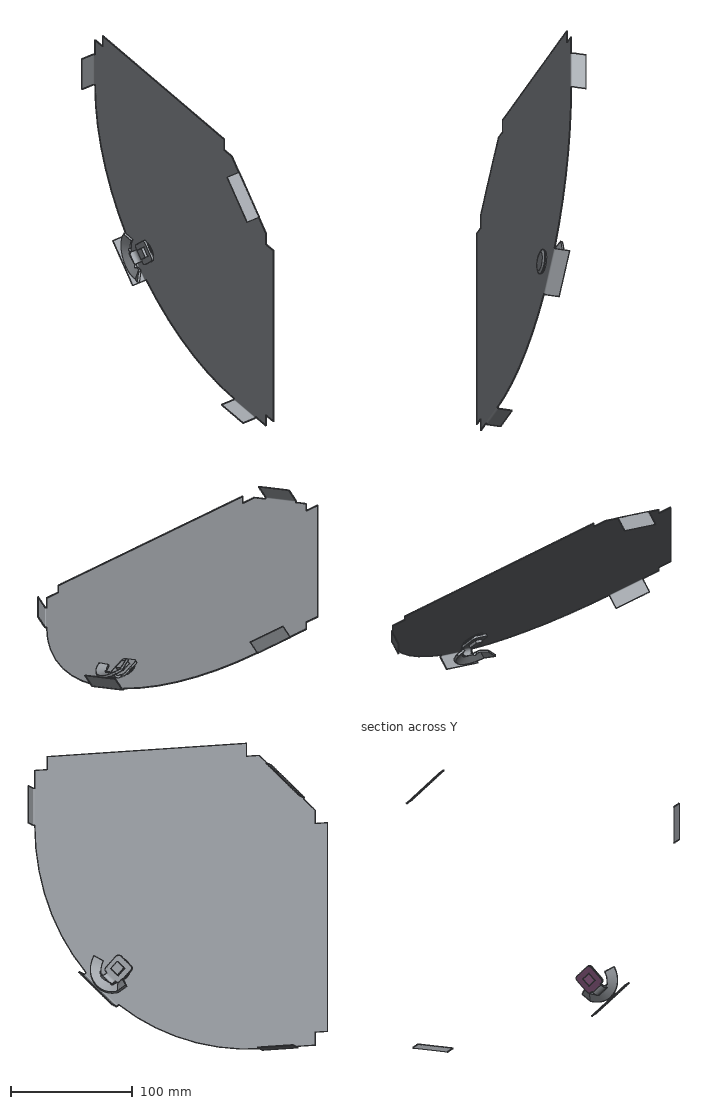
import cadquery as cq
import math


DIAGONAL = 45.0
COS_45 = math.sqrt(0.5)

SIZE = 257.8
SHEET = 0.8
BEND = 1.5
TAB_INSET = 10.8
NOTCH_START = 12.5
TAB_END = 186.9
CHAMFER = 49.0
ARC_CENTRE = 201.0
ARC_RADIUS = ARC_CENTRE - BEND

FLANGE_DEPTH = 13.0
SIDE_FLANGE = 31.0
DIAGONAL_FLANGE = 40.5
LAND = 2.5

LOCK = 75.8
NECK_DIAMETER = 16.5
NECK_END = -1.5
SHAFT_SIDE = 8.2
SHAFT_END = -6.2
KNOB_HEIGHT = 3.4
BASE_RADIUS = 9.3
RIM_RADIUS = 10.3
CROWN_RADIUS = 7.7
RIM_BOTTOM = 1.3
RIM_TOP = 2.0

CAM_SHEET = 2.0
PLATE_SIDE = 18.0
PLATE_CORNER = 2.8
TONGUE_WIDTH = 10.5
TONGUE_BEND = 3.5
RELIEF_WIDTH = 3.0
RELIEF_REACH = 12.6
RING_INNER = 14.2
RING_OUTER = 22.2
RING_DEPTH = -7.0
DISH_ANGLE = 25.0
TILT_ANGLE = 5.2
RING_START = -81.0
RING_SWEEP = 129.0
TAIL_END = -55.0
TAIL_DROP = 3.5


def panel_sheet():
    """Flat sheet: two tabs, a chamfered corner and the large rounded corner opposite."""
    shoulder = SIZE - TAB_INSET
    chamfer_start = shoulder - CHAMFER
    arc_middle = ARC_CENTRE - ARC_RADIUS * COS_45
    return (
        cq.Workplane("XZ")
        .moveTo(BEND, ARC_CENTRE)
        .lineTo(BEND, shoulder)
        .lineTo(NOTCH_START, shoulder)
        .lineTo(NOTCH_START, SIZE)
        .lineTo(TAB_END, SIZE)
        .lineTo(TAB_END, shoulder)
        .lineTo(chamfer_start, shoulder)
        .lineTo(shoulder, chamfer_start)
        .lineTo(shoulder, TAB_END)
        .lineTo(SIZE, TAB_END)
        .lineTo(SIZE, NOTCH_START)
        .lineTo(shoulder, NOTCH_START)
        .lineTo(shoulder, BEND)
        .lineTo(ARC_CENTRE, BEND)
        .threePointArc((arc_middle, arc_middle), (BEND, ARC_CENTRE))
        .close()
        .extrude(SHEET)
    )


def flange(length, outward, x, z):
    """Bent flange centred on the edge point (x, z), facing the angle `outward` from +X towards +Z."""
    inside = BEND - SHEET
    strip = (
        cq.Workplane("XY")
        .moveTo(-LAND, 0)
        .lineTo(0, 0)
        .threePointArc((BEND * COS_45, BEND * COS_45 - BEND), (BEND, -BEND))
        .lineTo(BEND, -FLANGE_DEPTH)
        .lineTo(inside, -FLANGE_DEPTH)
        .lineTo(inside, -BEND)
        .threePointArc((inside * COS_45, inside * COS_45 - BEND), (0, -SHEET))
        .lineTo(-LAND, -SHEET)
        .close()
        .extrude(length / 2, both=True)
    )
    return strip.rotate((0, 0, 0), (0, 1, 0), -outward).translate((x, 0, z))


def make_panel():
    side_middle = ARC_CENTRE + SIDE_FLANGE / 2
    arc_middle = ARC_CENTRE - ARC_RADIUS * COS_45
    chamfer_middle = SIZE - TAB_INSET - CHAMFER / 2
    lock_hole = (
        cq.Workplane("XZ").center(LOCK, LOCK).circle(NECK_DIAMETER / 2).extrude(SHEET)
    )
    return (
        panel_sheet()
        .union(flange(SIDE_FLANGE, 180, BEND, side_middle))
        .union(flange(SIDE_FLANGE, 270, side_middle, BEND))
        .union(flange(DIAGONAL_FLANGE, 180 + DIAGONAL, arc_middle, arc_middle))
        .union(flange(DIAGONAL_FLANGE, DIAGONAL, chamfer_middle, chamfer_middle))
        .cut(lock_hole)
    )


def place_on_lock(body):
    """Move a body built around the Y axis onto the lock axis."""
    return body.translate((LOCK, 0, LOCK))


def drive_square():
    """Square drive, its sides at 45 degrees to X and Z."""
    return (
        cq.Workplane("XZ", origin=(0, NECK_END, 0))
        .transformed(rotate=(0, 0, DIAGONAL))
        .rect(SHAFT_SIDE, SHAFT_SIDE)
        .extrude(NECK_END - SHAFT_END)
    )


def make_knob():
    """Bevelled head behind the panel, round neck through it and square drive in front."""
    turned = (
        cq.Workplane("XY")
        .polyline([
            (0, NECK_END),
            (NECK_DIAMETER / 2, NECK_END),
            (NECK_DIAMETER / 2, 0),
            (BASE_RADIUS, 0),
            (RIM_RADIUS, RIM_BOTTOM),
            (RIM_RADIUS, RIM_TOP),
            (CROWN_RADIUS, KNOB_HEIGHT),
            (0, KNOB_HEIGHT),
        ])
        .close()
        .revolve(360, (0, 0), (0, 1))
    )
    return place_on_lock(turned.union(drive_square()))


def ring_section():
    """Corners (radius, Y) of the sloping ring section."""
    slope = math.radians(DISH_ANGLE)
    fall = (RING_OUTER - RING_INNER) * math.tan(slope)
    edge_shift = CAM_SHEET * math.sin(slope)
    edge_drop = CAM_SHEET * math.cos(slope)
    return [
        (RING_INNER, RING_DEPTH),
        (RING_OUTER, RING_DEPTH - fall),
        (RING_OUTER - edge_shift, RING_DEPTH - fall - edge_drop),
        (RING_INNER - edge_shift, RING_DEPTH - edge_drop),
    ]


def section_wire(angle, drop):
    """Ring section turned to `angle` and lowered towards -Y by `drop`."""
    turn = math.radians(angle)
    corners = [
        cq.Vector(radius * math.cos(turn), y - drop, radius * math.sin(turn))
        for radius, y in ring_section()
    ]
    return cq.Wire.makePolygon(corners, close=True)


def cam_ring():
    """Tilted conical ring sector with a tail bent further away from the panel."""
    ring = (
        cq.Workplane("XY")
        .polyline(ring_section())
        .close()
        .revolve(RING_SWEEP, (0, 0), (0, 1))
        .rotate((0, 0, 0), (0, 1, 0), -RING_START)
    )
    tail = cq.Solid.makeLoft(
        [section_wire(RING_START, 0), section_wire(TAIL_END, TAIL_DROP)], True
    )
    pivot = (0, RING_DEPTH, 0)
    return ring.union(cq.Workplane(tail)).rotate(pivot, (2.5, RING_DEPTH, 2.5), -TILT_ANGLE)


def cam_plate():
    """Rounded square plate around the drive."""
    return (
        cq.Workplane("XZ", origin=(0, NECK_END, 0))
        .transformed(rotate=(0, 0, DIAGONAL))
        .rect(PLATE_SIDE, PLATE_SIDE)
        .extrude(CAM_SHEET)
        .edges("|Y")
        .fillet(PLATE_CORNER)
    )


def cam_tongue():
    """Tongue that leaves the plate edge, bends a quarter turn towards -Y and enters the ring."""
    plate_front = NECK_END - CAM_SHEET
    bend_start = PLATE_SIDE / 2
    root = bend_start - PLATE_CORNER
    outer_radius = TONGUE_BEND + CAM_SHEET
    bend_y = plate_front - TONGUE_BEND
    tip_y = RING_DEPTH - CAM_SHEET
    return (
        cq.Workplane("XY")
        .moveTo(root, NECK_END)
        .lineTo(bend_start, NECK_END)
        .threePointArc(
            (bend_start + outer_radius * COS_45, bend_y + outer_radius * COS_45),
            (bend_start + outer_radius, bend_y),
        )
        .lineTo(bend_start + outer_radius, tip_y)
        .lineTo(bend_start + TONGUE_BEND, tip_y)
        .lineTo(bend_start + TONGUE_BEND, bend_y)
        .threePointArc(
            (bend_start + TONGUE_BEND * COS_45, bend_y + TONGUE_BEND * COS_45),
            (bend_start, plate_front),
        )
        .lineTo(root, plate_front)
        .close()
        .extrude(TONGUE_WIDTH / 2, both=True)
        .rotate((0, 0, 0), (0, 1, 0), -180 - DIAGONAL)
    )


def relief_slots():
    """Round-ended slots in the inner edge of the ring, one on each side of the tongue."""
    slot_offset = (TONGUE_WIDTH + RELIEF_WIDTH) / 2
    slot_centre = RELIEF_REACH - RELIEF_WIDTH
    return (
        cq.Workplane("XZ", origin=(0, NECK_END - CAM_SHEET, 0))
        .transformed(rotate=(0, 0, 180 + DIAGONAL))
        .pushPoints([(slot_centre, -slot_offset), (slot_centre, slot_offset)])
        .slot2D(2 * RELIEF_WIDTH, RELIEF_WIDTH)
        .extrude(RING_OUTER)
    )


def make_cam():
    cam = (
        cam_plate()
        .union(cam_ring().cut(relief_slots()))
        .union(cam_tongue())
        .cut(drive_square())
    )
    return place_on_lock(cam)


panel = make_panel()
knob = make_knob()
cam = make_cam()
result = cq.Compound.makeCompound([panel.solids().val(), knob.solids().val(), cam.solids().val()])